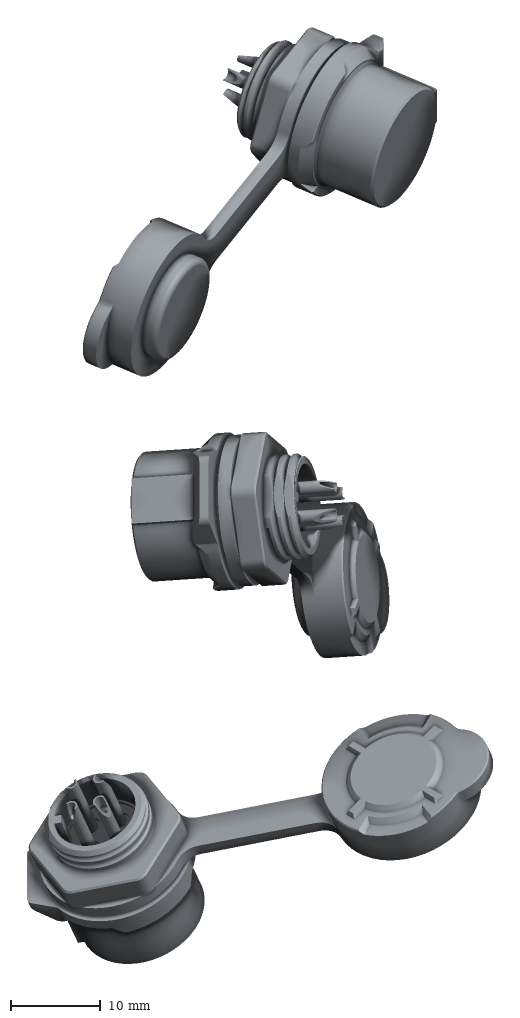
import cadquery as cq
import math


body_end_x = 10.0
body_radius = 7.25
body_rim_chamfer = 0.25
flange_thickness = 2.6
flange_radius = 8.77
flange_edge_chamfer = 0.15
root_collar_radius = 7.5
root_collar_thickness = 0.25
shoulder_radius = 7.25
shoulder_thickness = 0.5
solder_end_x = -8.53
key_rib_top = 7.5
key_rib_width = 5.2

tab_reach = 10.5
tab_end_half_width = 3.75
tab_root_y = 6.75
tab_root_half_width = 5.45
tab_corner_radius = 1.0
tab_tip_thickness = 1.08
tab_slope_foot_y = 7.75

notch_angles = (-65, 65, 180)
notch_start_x = 1.32
notch_foot_radius = 7.75
notch_half_width = 2.8
notch_end_slope = 1.3

thread_radius = 5.9
thread_root_radius = 5.3
thread_pitch = 1.2
thread_groove_width = 1.0
thread_groove_phase_x = -6.33
thread_end_chamfer = 0.45
neck_radius = 5.39

bore_radius = 4.75
bore_floor_x = -4.4
insert_radius = 4.45
ledge_height = 0.3
bore_key_top = 3.9
bore_key_width = 1.1

insert_thickness = 3.5
insert_back_x = bore_floor_x + insert_thickness
pin_recess_radius = 1.12
pin_recess_depth = 0.3
pin_tip_x = -12.2
pin_radius = 0.75
pin_offset = 1.66
cup_radius = 0.55
cup_depth = 1.9
cup_point_depth = 0.35
cup_opening_length = 2.4

strap_thickness = 1.45
ring_back_x = -shoulder_thickness
ring_front_x = ring_back_x - strap_thickness
ring_radius = 8.45
strap_width = 4.15
ring_strap_fillet = 2.6
cap_strap_fillet = 2.8
cap_center_y = -34.0
cap_radius = 8.58
cap_face_x = -5.46
cap_edge_chamfer = 0.15
plug_radius = 6.2
plug_end_x = 1.3
plug_edge_fillet = 0.7
cap_tab_back_x = -3.65
cap_tab_radius = 4.72
cap_tab_offset = 6.2
cap_tab_fillet = 1.0

raised_height = 0.5
raised_top_radius = 5.0
raised_base_radius = 5.66
spoke_angles = (45, 135, 225, 315)
spoke_inner_radius = 4.5
spoke_outer_radius = 7.36
spoke_base_width = 1.4
spoke_top_width = 0.7

pocket_depth = 0.5
pocket_floor_radius = 7.1
pocket_floor_half_angle = 25.5
pocket_face_radius = 6.35
pocket_face_half_angle = 30

nut_thickness = 3.0
nut_back_x = ring_front_x
nut_front_x = nut_back_x - nut_thickness
nut_across_flats = 15.7
nut_corner_radius = 1.5
nut_edge_chamfer = 0.2


def disc(radius, start_x, end_x, center_y=0.0, center_z=0.0):
    """Round bar along X between two X positions."""
    return (
        cq.Workplane("YZ", origin=(start_x, center_y, center_z))
        .circle(radius)
        .extrude(end_x - start_x)
    )


def block(start, end):
    """Box between two opposite corners."""
    size = [b - a for a, b in zip(start, end)]
    return cq.Workplane("XY").box(*size, centered=False).translate(start)


def frustum(start_radius, start_x, end_radius, end_x):
    """Cone frustum along X between two X positions."""
    return (
        cq.Workplane("XY")
        .polyline([(start_x, 0), (start_x, start_radius), (end_x, end_radius), (end_x, 0)])
        .close()
        .revolve(360, (0, 0, 0), (1, 0, 0))
    )


def sector_outline(height, half_angle):
    """Triangle from the axis up to a given height, symmetric about +Z."""
    half_width = height * math.tan(math.radians(half_angle))
    return [(0, 0), (half_width, height), (-half_width, height)]


def flange_tab():
    """Tab on the +Y side of the flange, thinned by a slope toward its tip."""
    tab = (
        cq.Workplane("YZ")
        .polyline(
            [
                (0, -tab_root_half_width),
                (tab_root_y, -tab_root_half_width),
                (tab_reach, -tab_end_half_width),
                (tab_reach, tab_end_half_width),
                (tab_root_y, tab_root_half_width),
                (0, tab_root_half_width),
            ]
        )
        .close()
        .extrude(flange_thickness)
    )
    return tab.edges("|X and >Y").fillet(tab_corner_radius)


def tab_slope():
    """Wedge removed from the back of the tab."""
    return (
        cq.Workplane("XY")
        .moveTo(tab_tip_thickness, tab_reach)
        .lineTo(flange_thickness, tab_reach)
        .lineTo(flange_thickness, tab_slope_foot_y)
        .close()
        .extrude(tab_root_half_width, both=True)
    )


def rim_notch(angle):
    """Wedge with slanted ends removed from the back of the flange rim."""
    depth = flange_radius - notch_foot_radius
    length = flange_thickness - notch_start_x
    profile_half_width = notch_half_width + notch_end_slope
    wedge = (
        cq.Workplane("XY")
        .moveTo(notch_start_x, flange_radius)
        .lineTo(flange_thickness, notch_foot_radius)
        .lineTo(flange_thickness, flange_radius + depth)
        .lineTo(notch_start_x, flange_radius + depth)
        .close()
        .revolve(360, (0, 0, 0), (1, 0, 0))
    )
    slanted_ends = (
        cq.Workplane("XZ", origin=(0, flange_radius + depth, 0))
        .moveTo(flange_thickness - length, -notch_half_width)
        .lineTo(flange_thickness, -profile_half_width)
        .lineTo(flange_thickness, profile_half_width)
        .lineTo(flange_thickness - length, notch_half_width)
        .close()
        .extrude(flange_radius)
    )
    return wedge.intersect(slanted_ends).rotate((0, 0, 0), (1, 0, 0), angle)


def threaded_bar():
    """Bar with a right-handed V groove, longer at both ends than the finished thread."""
    start_x = thread_groove_phase_x - 3 * thread_pitch
    overshoot = 0.1
    half_width = thread_groove_width / 2
    helix = cq.Wire.makeHelix(thread_pitch, nut_front_x - start_x, thread_root_radius)
    groove = (
        cq.Workplane("XZ")
        .moveTo(thread_root_radius, 0)
        .lineTo(thread_radius + overshoot, half_width)
        .lineTo(thread_radius + overshoot, -half_width)
        .close()
        .sweep(cq.Workplane(obj=helix), isFrenet=True)
    )
    groove = groove.rotate((0, 0, 0), (0, 1, 0), 90).translate((start_x, 0, 0))
    return disc(thread_radius, start_x - thread_pitch, nut_front_x + thread_pitch).cut(groove)


def make_housing():
    body = disc(body_radius, 0, body_end_x).faces(">X").chamfer(body_rim_chamfer)
    key_rib = block(
        (flange_thickness, 0, -key_rib_width / 2),
        (body_end_x - body_rim_chamfer, key_rib_top, key_rib_width / 2),
    )
    flange = disc(flange_radius, 0, flange_thickness).faces(">X").chamfer(flange_edge_chamfer)
    flange = flange.union(flange_tab()).cut(tab_slope())
    root_collar_end_x = flange_thickness + root_collar_thickness
    root_collar = frustum(root_collar_radius, flange_thickness, body_radius, root_collar_end_x)
    flange = flange.union(root_collar)
    for angle in notch_angles:
        flange = flange.cut(rim_notch(angle))

    tube = disc(thread_radius, solder_end_x, nut_front_x).faces("<X").chamfer(thread_end_chamfer)
    tube = tube.intersect(threaded_bar())
    flat = block(
        (solder_end_x, neck_radius, -thread_radius),
        (nut_front_x, thread_radius, thread_radius),
    )
    tube = tube.cut(flat).union(disc(neck_radius, nut_front_x, 0))
    shoulder = disc(shoulder_radius, -shoulder_thickness, 0)

    bore_key = block(
        (solder_end_x, bore_key_top, -bore_key_width / 2),
        (bore_floor_x, bore_radius, bore_key_width / 2),
    )
    bore = disc(bore_radius, solder_end_x, bore_floor_x - ledge_height)
    bore = bore.union(disc(insert_radius, solder_end_x, bore_floor_x)).cut(bore_key)
    bore = bore.union(disc(insert_radius, bore_floor_x, insert_back_x))
    return body.union(key_rib).union(flange).union(shoulder).union(tube).cut(bore)


pin_centers = [(y, z) for y in (-pin_offset, pin_offset) for z in (-pin_offset, pin_offset)]


def make_insert():
    """Disc at the bottom of the bore with a shallow round recess around each pin."""
    insert = disc(insert_radius, bore_floor_x, insert_back_x)
    for y, z in pin_centers:
        insert = insert.cut(disc(pin_radius, bore_floor_x, insert_back_x, y, z))
        recess_end_x = bore_floor_x + pin_recess_depth
        insert = insert.cut(disc(pin_recess_radius, bore_floor_x, recess_end_x, y, z))
    return insert


def make_pin(y, z):
    """Pin with a drilled solder cup, cut open on the side away from the connector axis."""
    cup_end_x = pin_tip_x + cup_depth
    cup = disc(cup_radius, pin_tip_x, cup_end_x)
    cup_point = (
        cq.Workplane("XY")
        .moveTo(cup_end_x, 0)
        .lineTo(cup_end_x, cup_radius)
        .lineTo(cup_end_x + cup_point_depth, 0)
        .close()
        .revolve(360, (0, 0, 0), (1, 0, 0))
    )
    opening = (
        cq.Workplane("XY")
        .moveTo(pin_tip_x, 0)
        .lineTo(pin_tip_x + cup_opening_length, pin_radius)
        .lineTo(pin_tip_x, pin_radius)
        .close()
        .extrude(pin_radius, both=True)
    )
    outward = math.degrees(math.atan2(z, y))
    opening = opening.rotate((0, 0, 0), (1, 0, 0), outward)
    pin = disc(pin_radius, pin_tip_x, insert_back_x).cut(cup).cut(cup_point).cut(opening)
    return pin.translate((0, y, z))


def rim_pocket():
    """Pocket at the +Z rim of the cap face, with walls that lean outward toward the face."""
    floor_x = cap_face_x + pocket_depth
    reach = 2 * cap_radius
    sector = (
        cq.Workplane("YZ", origin=(floor_x, 0, 0))
        .polyline(sector_outline(reach, pocket_floor_half_angle))
        .close()
        .workplane(offset=-pocket_depth)
        .polyline(sector_outline(reach, pocket_face_half_angle))
        .close()
        .loft(ruled=True)
    )
    core = frustum(pocket_face_radius, cap_face_x, pocket_floor_radius, floor_x)
    return sector.cut(core)


def spoke(angle):
    """Raised radial rib with sloping sides."""
    slope = (spoke_base_width - spoke_top_width) / 2
    length = spoke_outer_radius - spoke_inner_radius
    rib = (
        cq.Workplane("YZ", origin=(cap_face_x, 0, 0))
        .center(spoke_inner_radius + length / 2, 0)
        .rect(length, spoke_base_width)
        .extrude(-raised_height, taper=math.degrees(math.atan2(slope, raised_height)))
    )
    return rib.rotate((0, 0, 0), (1, 0, 0), angle)


def cap_face_tab():
    """Round thumb tab on the -Y side of the cap, blended into the cap's rim."""
    tab = disc(cap_radius, cap_face_x, cap_tab_back_x)
    tab = tab.union(disc(cap_tab_radius, cap_face_x, cap_tab_back_x, -cap_tab_offset))
    corner_y = -(cap_radius**2 - cap_tab_radius**2 + cap_tab_offset**2) / (2 * cap_tab_offset)
    corner_z = math.sqrt(cap_radius**2 - corner_y**2)
    near = 0.1
    for z in (-corner_z, corner_z):
        corner = cq.selectors.BoxSelector(
            (cap_face_x, corner_y - near, z - near), (cap_tab_back_x, corner_y + near, z + near)
        )
        tab = tab.edges(corner).fillet(cap_tab_fillet)
    return tab


def strap():
    """Ring around the neck and the strap that ties the cap to it."""
    band = disc(ring_radius, ring_front_x, ring_back_x)
    band = band.union(disc(cap_radius, ring_front_x, ring_back_x, cap_center_y))
    half_width = strap_width / 2
    band = band.union(
        block((ring_front_x, cap_center_y, -half_width), (ring_back_x, 0, half_width))
    )
    near = 0.1
    ring_corner_y = -math.sqrt(ring_radius**2 - half_width**2)
    cap_corner_y = cap_center_y + math.sqrt(cap_radius**2 - half_width**2)
    corners = ((ring_corner_y, ring_strap_fillet), (cap_corner_y, cap_strap_fillet))
    for y, radius in corners:
        selector = cq.selectors.BoxSelector(
            (ring_front_x, y - near, -strap_width), (ring_back_x, y + near, strap_width)
        )
        band = band.edges("|X").edges(selector).fillet(radius)
    return band.cut(disc(neck_radius, ring_front_x, ring_back_x))


def make_cap():
    cap = disc(cap_radius, cap_face_x, ring_back_x).union(cap_face_tab())
    cap = cap.faces("<X").chamfer(cap_edge_chamfer)
    for angle in (0, 180):
        cap = cap.cut(rim_pocket().rotate((0, 0, 0), (1, 0, 0), angle))
    raised_disc = frustum(
        raised_top_radius, cap_face_x - raised_height, raised_base_radius, cap_face_x
    )
    cap = cap.union(raised_disc)
    for angle in spoke_angles:
        cap = cap.union(spoke(angle))
    plug = disc(plug_radius, ring_back_x, plug_end_x).faces(">X").edges().fillet(plug_edge_fillet)
    cap = cap.union(plug)
    return cap.translate((0, cap_center_y, 0)).union(strap())


def make_nut():
    corner_diameter = nut_across_flats / math.cos(math.radians(30))
    nut = (
        cq.Workplane("YZ", origin=(nut_front_x, 0, 0))
        .polygon(6, corner_diameter)
        .extrude(nut_thickness)
        .edges("|X")
        .fillet(nut_corner_radius)
        .faces("<X or >X")
        .chamfer(nut_edge_chamfer)
    )
    return nut.cut(disc(neck_radius, nut_front_x, nut_back_x))


housing = make_housing()
insert = make_insert()
pins = [make_pin(y, z) for y, z in pin_centers]
cap = make_cap()
nut = make_nut()

result = cq.Compound.makeCompound(
    [housing.val(), insert.val(), cap.val(), nut.val(), *[pin.val() for pin in pins]]
)